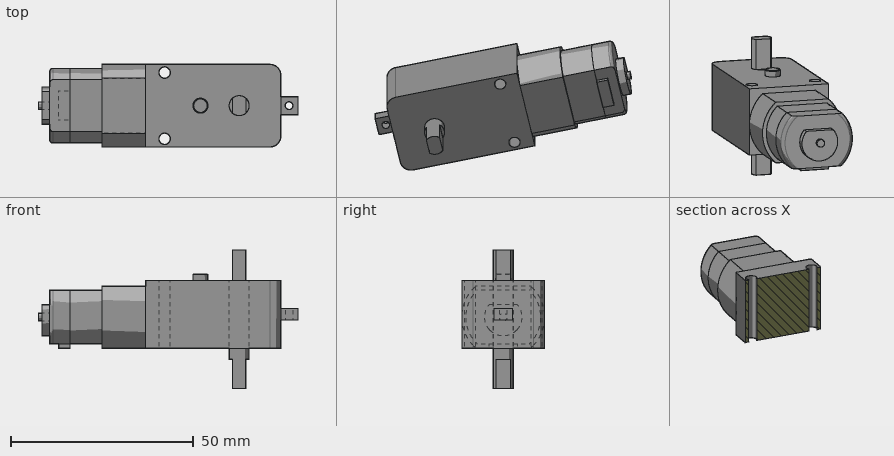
import cadquery as cq


boss_start = 0.9
cap_start = 3.05
can_start = 8.7
sleeve_start = 17.35
housing_start = 29.35
housing_end = 66.4
tab_end = 71.1

pin_diameter = 2.1
boss_diameter = 10.25
boss_flat_height = 3.4
can_diameter = 20.5
can_height = 14.7
cap_edge_radius = 0.9
clip_length = 3.1
clip_width = 7.9

housing_width = 22.7
housing_bottom = -8.5
housing_top = 10.0
housing_corner_radius = 3.05
sleeve_diameter = housing_width
sleeve_top = 8.45
screw_hole_diameter = 3.05
screw_hole_x = 34.55
screw_hole_spacing = 18.1

tab_width = 5.0
tab_bottom = -0.85
tab_top = 2.4
tab_hole_x = 68.6
tab_hole_diameter = 2.05

shaft_x = 54.95
shaft_diameter = 5.5
shaft_flat_width = 3.7
shaft_bottom = -19.55
shaft_top = 18.4
collar_bottom = -11.6
knob_x = 44.4
knob_diameter = 4.1
knob_top = 11.8
knob_chamfer = 0.2


def box(x_range, width, z_range):
    """Box centred on Y = 0, spanning the given X and Z ranges."""
    x_start, x_end = x_range
    z_start, z_end = z_range
    return cq.Workplane("XY").box(
        x_end - x_start, width, z_end - z_start, centered=(False, True, False)
    ).translate((x_start, 0, z_start))


def axial_cylinder(x_start, x_end, diameter):
    """Cylinder on the motor axis."""
    return cq.Workplane("YZ", origin=(x_start, 0, 0)).circle(diameter / 2).extrude(x_end - x_start)


def upright_cylinder(x, z_start, z_end, diameter):
    """Cylinder parallel to Z on the middle plane Y = 0."""
    return cq.Workplane("XY", origin=(x, 0, z_start)).circle(diameter / 2).extrude(z_end - z_start)


def flatten(body, x_range, width, z_range):
    """Trim a body to the flats of a surrounding box."""
    return body.intersect(box(x_range, width, z_range))


def make_pin():
    return axial_cylinder(0, cap_start, pin_diameter)


def make_boss():
    """Round boss with a flat on top, bored for the pin."""
    disc = axial_cylinder(boss_start, cap_start, boss_diameter)
    z_range = (-boss_diameter / 2, boss_flat_height)
    boss = flatten(disc, (boss_start, cap_start), boss_diameter, z_range)
    return boss.cut(make_pin())


def make_cap():
    """Motor end cap: rounded end edge, two flats and a clip underneath."""
    x_range = (cap_start, can_start)
    disc = axial_cylinder(cap_start, can_start, can_diameter).faces("<X").edges().fillet(cap_edge_radius)
    cap = flatten(disc, x_range, can_diameter, (-can_height / 2, can_height / 2))
    clip = box((can_start - clip_length, can_start), clip_width, (housing_bottom, 0))
    return cap.union(clip)


def make_can():
    x_range = (can_start, sleeve_start)
    can = axial_cylinder(can_start, sleeve_start, can_diameter)
    return flatten(can, x_range, can_diameter, (-can_height / 2, can_height / 2))


def make_sleeve():
    """Sleeve flat above and below, as wide as the housing and level with its bottom."""
    x_range = (sleeve_start, housing_start)
    sleeve = axial_cylinder(sleeve_start, housing_start, sleeve_diameter)
    return flatten(sleeve, x_range, housing_width, (housing_bottom, sleeve_top))


def make_shaft():
    """Output shaft: round inside the housing and collar, two flats beyond them."""
    flat_range = (shaft_x - shaft_flat_width / 2, shaft_x + shaft_flat_width / 2)
    bar = upright_cylinder(shaft_x, shaft_bottom, shaft_top, shaft_diameter)
    flatted_bar = flatten(bar, flat_range, shaft_diameter, (shaft_bottom, shaft_top))
    round_part = upright_cylinder(shaft_x, collar_bottom, housing_top, shaft_diameter)
    return flatted_bar.union(round_part)


def make_knob():
    knob = upright_cylinder(knob_x, housing_top, knob_top, knob_diameter)
    return knob.faces(">Z").edges().chamfer(knob_chamfer)


def make_housing():
    """Gearbox block with a mounting tab, two screw holes and the shaft bore."""
    block = box((housing_start, housing_end), housing_width, (housing_bottom, housing_top))
    block = block.edges("|Z and >X").fillet(housing_corner_radius)
    tab = box((housing_end, tab_end), tab_width, (tab_bottom, tab_top))
    tab = tab.cut(upright_cylinder(tab_hole_x, tab_bottom, tab_top, tab_hole_diameter))
    housing = block.union(tab)
    screw_hole = upright_cylinder(screw_hole_x, housing_bottom, housing_top, screw_hole_diameter)
    for side in (-1, 1):
        housing = housing.cut(screw_hole.translate((0, side * screw_hole_spacing / 2, 0)))
    return housing.cut(upright_cylinder(shaft_x, housing_bottom, housing_top, shaft_diameter))


pin = make_pin()
boss = make_boss()
cap = make_cap()
can = make_can()
sleeve = make_sleeve()
housing = make_housing()
shaft = make_shaft()
knob = make_knob()

bodies = [pin, boss, cap, can, sleeve, housing, shaft, knob]
result = cq.Compound.makeCompound([body.val() for body in bodies])